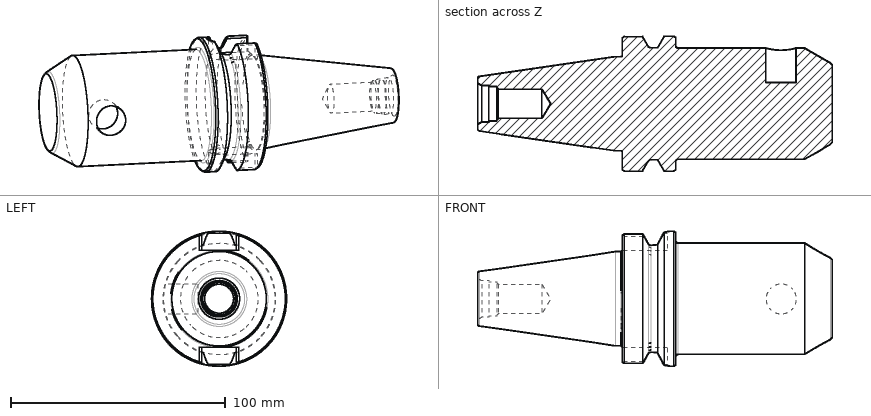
import cadquery as cq
import math

gauge_radius = 44.45 / 2
taper_slope = 7 / 24 / 2
shank_length = 65.4
taper_end_x = -1.3
neck_fillet = 0.6
shank_end_fillet = 1.0

flange_radius = 31.5
flange_front_x = 2.0
flange_back_x = 27.0
rim_chamfer_length = 1.0
rim_chamfer_height = 0.6
groove_center_x = 16.5
groove_top_width = 10.0
groove_floor_radius = 26.25
groove_flank_angle = 30.0
groove_fillet = 1.3

body_radius = 26.0
body_fillet = 1.0
nose_start_x = 87.0
nose_end_x = 100.0
nose_angle = 30.0
nose_chamfer = 1.0

keyway_width = 16.1
keyway_half_width = keyway_width / 2
keyway_floor_z = 22.6
keyway_end_x = 23.0
entry_bevel_width = 1.1
entry_bevel_length = 0.9
wall_bevel_depth = 1.3
end_bevel_depth = 1.0

entry_radius = 9.6
entry_half_angle = 30.0
counterbore_radius = 8.5
counterbore_depth = 5.3
pilot_radius = 8.0
pilot_depth = 8.9
pilot_ledge = 0.4
core_radius = 6.75
core_depth = 30.0
drill_tip_half_angle = 59.0

screw_hole_x = 76.0
screw_hole_radius = 7.0
screw_hole_bottom_y = 10.0


def taper_radius(x):
    """Radius of the 7/24 taper at a position along the axis."""
    return gauge_radius + taper_slope * x


def build_body():
    """Revolved outline of shank, flange, body and nose."""
    shank_end_x = -shank_length
    neck_radius = taper_radius(taper_end_x)
    shank_end_radius = taper_radius(shank_end_x)
    flank_tan = math.tan(math.radians(groove_flank_angle))
    nose_tan = math.tan(math.radians(nose_angle))
    rim_radius = flange_radius - rim_chamfer_height
    flank_length = (flange_radius - groove_floor_radius) * flank_tan
    fillet_run = groove_fillet * math.tan(math.radians(90 - groove_flank_angle) / 2)
    groove_front_x = groove_center_x - groove_top_width / 2
    groove_corner_x = groove_front_x + flank_length
    fillet_start_x = groove_corner_x - fillet_run * math.sin(math.radians(groove_flank_angle))
    fillet_start_radius = groove_floor_radius + fillet_run * math.cos(math.radians(groove_flank_angle))
    groove_back_x = groove_center_x + groove_top_width / 2
    nose_radius = body_radius - (nose_end_x - nose_start_x) * nose_tan
    chamfer_start_x = nose_end_x - nose_chamfer
    chamfer_start_radius = nose_radius + nose_chamfer * nose_tan

    profile = (
        cq.Workplane("XY")
        .moveTo(shank_end_x, 0)
        .lineTo(shank_end_x, shank_end_radius)
        .lineTo(taper_end_x, neck_radius)
        .lineTo(flange_front_x - neck_fillet, neck_radius)
        .radiusArc((flange_front_x, neck_radius + neck_fillet), -neck_fillet)
        .lineTo(flange_front_x, rim_radius)
        .lineTo(flange_front_x + rim_chamfer_length, flange_radius)
        .lineTo(groove_front_x, flange_radius)
        .lineTo(fillet_start_x, fillet_start_radius)
        .radiusArc((groove_corner_x + fillet_run, groove_floor_radius), -groove_fillet)
        .lineTo(groove_back_x - flank_length, groove_floor_radius)
        .lineTo(groove_back_x, flange_radius)
        .lineTo(flange_back_x - rim_chamfer_length, flange_radius)
        .lineTo(flange_back_x, rim_radius)
        .lineTo(flange_back_x, body_radius + body_fillet)
        .radiusArc((flange_back_x + body_fillet, body_radius), -body_fillet)
        .lineTo(nose_start_x, body_radius)
        .lineTo(chamfer_start_x, chamfer_start_radius)
        .lineTo(nose_end_x, chamfer_start_radius - nose_chamfer)
        .lineTo(nose_end_x, 0)
        .close()
    )
    body = profile.revolve(360, (0, 0, 0), (1, 0, 0))
    return body.faces("<X").edges().fillet(shank_end_fillet)


def keyway_entry():
    """Wedge that bevels both keyway walls where they open on the flange front face."""
    return (
        cq.Workplane("XY", origin=(0, 0, keyway_floor_z))
        .moveTo(flange_front_x, keyway_half_width + entry_bevel_width)
        .lineTo(flange_front_x + entry_bevel_length, keyway_half_width)
        .lineTo(flange_front_x + entry_bevel_length, -keyway_half_width)
        .lineTo(flange_front_x, -keyway_half_width - entry_bevel_width)
        .close()
        .extrude(flange_radius)
    )


def wall_bevel():
    """Prism that bevels both straight keyway walls along the rim of the front flange ring."""
    wall_top_z = math.sqrt(flange_radius**2 - keyway_half_width**2)
    bevel_bottom_z = wall_top_z - wall_bevel_depth
    rise = flange_radius - bevel_bottom_z
    return (
        cq.Workplane("YZ", origin=(flange_front_x, 0, 0))
        .moveTo(-keyway_half_width, bevel_bottom_z)
        .lineTo(keyway_half_width, bevel_bottom_z)
        .lineTo(keyway_half_width + rise, flange_radius)
        .lineTo(-keyway_half_width - rise, flange_radius)
        .close()
        .extrude(groove_center_x - flange_front_x)
    )


def round_end_bevel():
    """Cone that bevels the round end of the keyway along the rim of the rear flange ring."""
    return cq.Workplane(
        cq.Solid.makeCone(
            keyway_half_width,
            keyway_half_width + end_bevel_depth,
            end_bevel_depth,
            pnt=cq.Vector(keyway_end_x - keyway_half_width, 0, flange_radius - end_bevel_depth),
        )
    )


def cut_keyway(part, side):
    """Cut a round-ended, bevelled drive keyway into the +Z (side 1) or -Z (side -1) of the flange."""
    slot = (
        cq.Workplane("XY", origin=(0, 0, keyway_floor_z))
        .moveTo(flange_front_x, keyway_half_width)
        .lineTo(keyway_end_x - keyway_half_width, keyway_half_width)
        .threePointArc((keyway_end_x, 0), (keyway_end_x - keyway_half_width, -keyway_half_width))
        .lineTo(flange_front_x, -keyway_half_width)
        .close()
        .extrude(flange_radius)
    )
    slot = slot.union(keyway_entry()).union(wall_bevel()).union(round_end_bevel())
    if side < 0:
        slot = slot.mirror("XY")
    return part.cut(slot)


def drawbar_bore():
    """Stepped blind bore in the small end of the shank."""
    start_x = -shank_length
    entry_length = (entry_radius - counterbore_radius) / math.tan(math.radians(entry_half_angle))
    throat_radius = pilot_radius - pilot_ledge
    throat_length = throat_radius - core_radius
    tip_length = core_radius / math.tan(math.radians(drill_tip_half_angle))
    return (
        cq.Workplane("XY", origin=(start_x, 0, 0))
        .lineTo(0, entry_radius)
        .lineTo(entry_length, counterbore_radius)
        .lineTo(counterbore_depth, counterbore_radius)
        .lineTo(counterbore_depth, pilot_radius)
        .lineTo(pilot_depth, pilot_radius)
        .lineTo(pilot_depth, throat_radius)
        .lineTo(pilot_depth + throat_length, core_radius)
        .lineTo(core_depth, core_radius)
        .lineTo(core_depth + tip_length, 0)
        .close()
        .revolve(360, (0, 0, 0), (1, 0, 0))
    )


def screw_hole():
    """Blind radial hole in the +Y side of the body."""
    return (
        cq.Workplane("XZ", origin=(screw_hole_x, screw_hole_bottom_y, 0))
        .circle(screw_hole_radius)
        .extrude(-body_radius)
    )


result = build_body()
for side in (1, -1):
    result = cut_keyway(result, side)
result = result.cut(drawbar_bore()).cut(screw_hole())